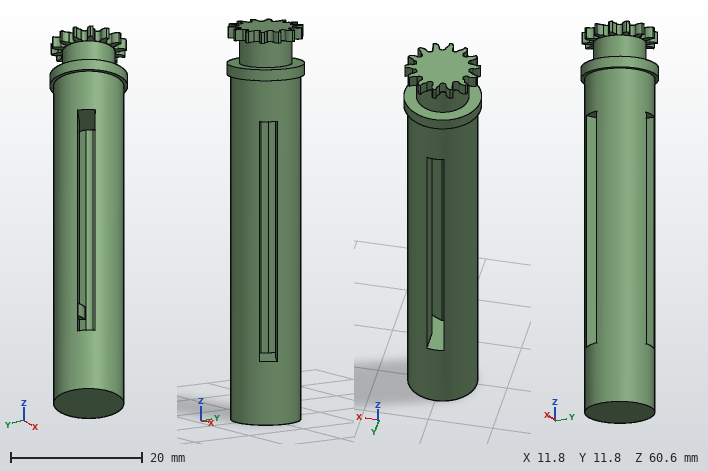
import cadquery as cq
import math

total_height = 60.6
shaft_diameter = 10.65
flange_diameter = 11.8
neck_diameter = 8.0
flange_height = 1.7
neck_height = 4.0
gear_height = 1.7
shaft_height = total_height - flange_height - neck_height - gear_height

full_turn = 360
tooth_count = 14
gear_diameter = 11.45
gear_radius = gear_diameter / 2
gap_floor_radius = 4.05
gap_width = 0.95
gap_mouth_width = 2.1
flare_start_radius = 4.6

slot_angles = (90, 210, 330)
slot_width = 2.65
slot_bottom = 9.8
slot_height = 36.95
slot_bore_diameter = 3.9

pad_slot_angle = slot_angles[1]
pad_bottom = 12.6
pad_height = 2.1
pad_face_radius = 3.35
pad_outer_root = 4.6
pad_inner_root = 3.4
pad_tip = 3.1
pad_rise = 0.95
pad_embed = 0.2


def disc(diameter, bottom, height):
    return cq.Workplane("XY").workplane(offset=bottom).circle(diameter / 2).extrude(height)


def about_axis(body, angle):
    return body.rotate((0, 0, 0), (0, 0, 1), angle)


def tooth_gap(bottom):
    """Cutter for one gap on +X: round floor, parallel sides, then flared to the tips."""
    half_gap = gap_width / 2
    half_mouth = gap_mouth_width / 2
    side_start = gap_floor_radius + half_gap
    mouth_x = math.sqrt(gear_radius**2 - half_mouth**2)
    return (
        cq.Workplane("XY")
        .workplane(offset=bottom)
        .moveTo(flare_start_radius, -half_gap)
        .lineTo(side_start, -half_gap)
        .threePointArc((gap_floor_radius, 0), (side_start, half_gap))
        .lineTo(flare_start_radius, half_gap)
        .tangentArcPoint((mouth_x, half_mouth), relative=False)
        .lineTo(flange_diameter / 2, half_mouth)
        .lineTo(flange_diameter / 2, -half_mouth)
        .lineTo(mouth_x, -half_mouth)
        .tangentArcPoint((flare_start_radius, -half_gap), relative=False)
        .close()
        .extrude(gear_height)
    )


def gear(bottom):
    body = disc(gear_diameter, bottom, gear_height)
    gap = tooth_gap(bottom)
    for index in range(tooth_count):
        body = body.cut(about_axis(gap, index * full_turn / tooth_count))
    return body


def slot(angle):
    """Cutter for one slot, running from the axis out through the shaft side."""
    cutter = (
        cq.Workplane("XY")
        .workplane(offset=slot_bottom)
        .box(shaft_diameter, slot_width, slot_height, centered=(False, True, False))
    )
    return about_axis(cutter, angle)


def wall_pad():
    """Pad with a convex outer face, drawn for a slot along +X and turned into place."""
    wall = -slot_width / 2
    pad = (
        cq.Workplane("XY")
        .workplane(offset=pad_bottom)
        .moveTo(pad_outer_root, wall - pad_embed)
        .lineTo(pad_outer_root, wall)
        .radiusArc((pad_tip, wall + pad_rise), -pad_face_radius)
        .lineTo(pad_inner_root, wall)
        .lineTo(pad_inner_root, wall - pad_embed)
        .close()
        .extrude(pad_height)
    )
    return about_axis(pad, pad_slot_angle)


shaft = disc(shaft_diameter, 0, shaft_height)
for slot_angle in slot_angles:
    shaft = shaft.cut(slot(slot_angle))
shaft = shaft.cut(disc(slot_bore_diameter, slot_bottom, slot_height))
shaft = shaft.union(wall_pad())

flange = disc(flange_diameter, shaft_height, flange_height)
neck = disc(neck_diameter, shaft_height + flange_height, neck_height)
result = shaft.union(flange).union(neck).union(gear(total_height - gear_height))